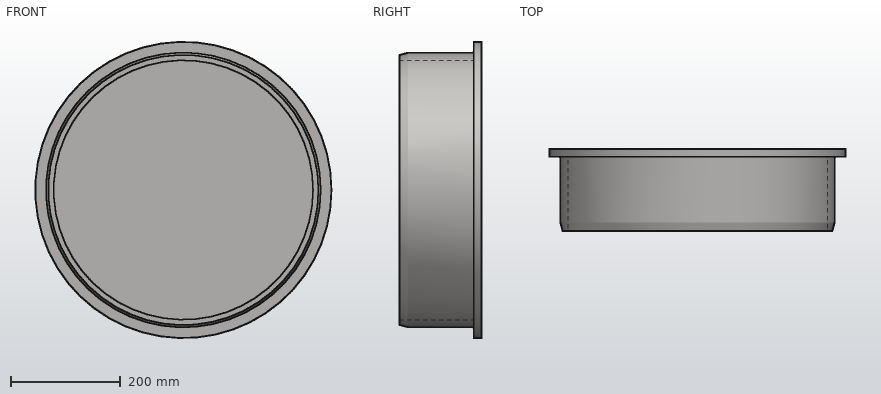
import cadquery as cq
import math

flange_diameter = 540.0
wall_diameter = 500.5
bore_diameter = 472.5
total_depth = 150.0
flange_thickness = 14.5
floor_thickness = flange_thickness
bevel_length = 16.0
bevel_angle = 15.0
fillet_radius = 2.0

flange_radius = flange_diameter / 2
wall_radius = wall_diameter / 2
bore_radius = bore_diameter / 2
rim_radius = wall_radius - bevel_length * math.tan(math.radians(bevel_angle))

back_y = total_depth / 2
rim_y = -back_y
flange_y = back_y - flange_thickness
floor_y = back_y - floor_thickness
bevel_y = rim_y + bevel_length


def fillet_midpoint(center_x, center_y, radius, x_side, y_side):
    """Middle of a quarter-circle arc on the given side of its centre."""
    offset = radius * math.sqrt(0.5)
    return (center_x + x_side * offset, center_y + y_side * offset)


outer_arc_middle = fillet_midpoint(
    wall_radius + fillet_radius, flange_y - fillet_radius, fillet_radius, -1, 1
)
inner_arc_middle = fillet_midpoint(
    bore_radius - fillet_radius, floor_y - fillet_radius, fillet_radius, 1, 1
)

half_section = (
    cq.Workplane("XY")
    .moveTo(0, back_y)
    .lineTo(flange_radius, back_y)
    .lineTo(flange_radius, flange_y)
    .lineTo(wall_radius + fillet_radius, flange_y)
    .threePointArc(outer_arc_middle, (wall_radius, flange_y - fillet_radius))
    .lineTo(wall_radius, bevel_y)
    .lineTo(rim_radius, rim_y)
    .lineTo(bore_radius, rim_y)
    .lineTo(bore_radius, floor_y - fillet_radius)
    .threePointArc(inner_arc_middle, (bore_radius - fillet_radius, floor_y))
    .lineTo(0, floor_y)
    .close()
)

result = half_section.revolve(360, (0, 0, 0), (0, 1, 0))